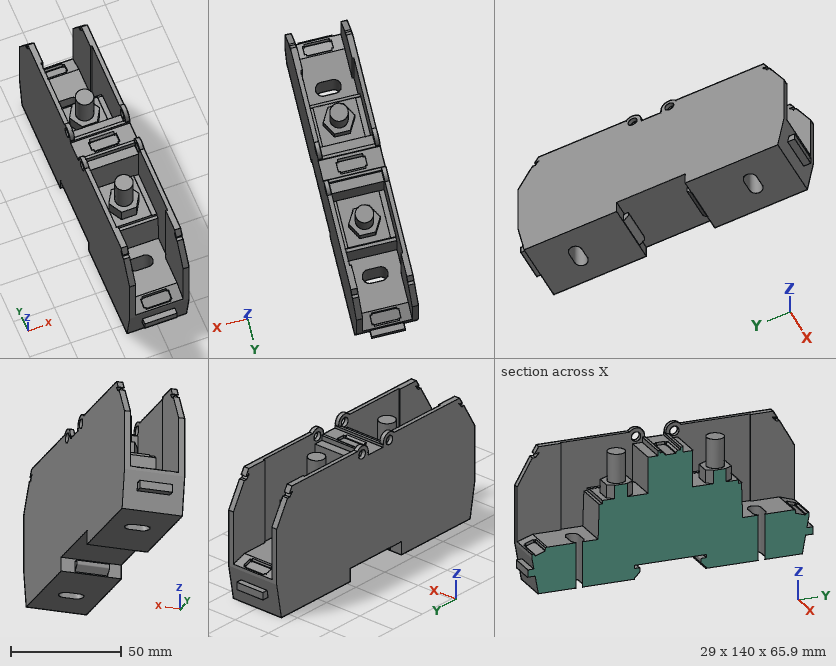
import cadquery as cq
import math


width = 29.0
length = 140.0
base_half = 64.8
body_half = 68.0
flare_height = 17.9
shoulder_height = 46.3
wall_top = 64.4
wall_top_half = 57.5

notch_points = [(60.6, 59.4), (59.1, 59.4), (57.3, 61.5), (59.5, 61.0)]

ear_y = 9.4
ear_radius = 4.2
ear_height = 61.7
ear_hole_diameter = 4.5

bridge_top = 59.8
rib_inner = 4.9
rib_outer = 6.3
rib_top = 61.0
ledge_height = 58.5
bridge_face = 11.0

thin_wall = 2.1
thick_wall = 3.0
thick_wall_start = 46.5
block_top = 40.9
step_height = 39.2
step_inner = 33.5
step_outer = 35.0
block_foot = 35.5
floor_height = 22.3
ramp_start = 60.5
ramp_end_height = 19.7

seat_half_width = 10.0
seat_relief = 0.4

stud_y = 24.2
stud_diameter = 8.4
stud_top = 61.5
nut_flats = 12.7
nut_top = 47.3

slot_y = 44.7
slot_length = 11.8
slot_width = 6.5

tab_width = 15.7
tab_bottom = 8.8
tab_top = 12.6

marker_length = 13.5
marker_width = 4.3
marker_depth = 1.4
relief_length = 11.8
bridge_relief_half = 3.5
ramp_relief_half = 3.1
relief_foot = 2.5
relief_depth = 1.0

channel_half = 17.5
channel_height = 6.7
claw_width = 15.7
claw_reach = 2.7
claw_bottom = 0.5
claw_shoulder = 3.2
claw_top = 5.5
claw_rounding = 0.7

overlap = 1.4
cut_top = wall_top + ear_radius


def block(x_size, y_range, z_range):
    """Box centred on X = 0 that spans the given Y and Z ranges."""
    y_size = y_range[1] - y_range[0]
    z_size = z_range[1] - z_range[0]
    box = cq.Workplane("XY").box(x_size, y_size, z_size, centered=(True, False, False))
    return box.translate((0, y_range[0], z_range[0]))


def side_prism(points, x_size):
    """Closed (y, z) outline extruded evenly about X = 0."""
    return cq.Workplane("YZ").polyline(points).close().extrude(x_size / 2, both=True)


def side_cylinder(y, z, diameter):
    """Full-width cylinder along X."""
    return cq.Workplane("YZ").center(y, z).circle(diameter / 2).extrude(width / 2, both=True)


def half_outline():
    """The +Y half of the housing as a solid block, with its ear."""
    points = [
        (0, 0),
        (base_half, 0),
        (body_half, flare_height),
        (body_half, shoulder_height),
        *notch_points,
        (wall_top_half, wall_top),
        (ear_y, wall_top),
        (ear_y, rib_top),
        (rib_inner, rib_top),
        (rib_inner, bridge_top),
        (0, bridge_top),
    ]
    ear = side_cylinder(ear_y, ear_height, 2 * ear_radius)
    ear_hole = side_cylinder(ear_y, ear_height, ear_hole_diameter)
    return side_prism(points, width).union(ear).cut(ear_hole)


def bay(wall):
    """Open space between side walls of the given thickness, above the stepped bay floor."""
    ramp_slope = (floor_height - ramp_end_height) / (body_half - ramp_start)
    points = [
        (rib_inner, cut_top),
        (rib_inner, rib_top),
        (rib_outer, rib_top),
        (rib_outer, ledge_height),
        (bridge_face, ledge_height),
        (bridge_face, block_top),
        (step_inner, block_top),
        (step_inner, step_height),
        (step_outer, step_height),
        (block_foot, floor_height),
        (ramp_start, floor_height),
        (body_half + overlap, ramp_end_height - overlap * ramp_slope),
        (body_half + overlap, cut_top),
    ]
    return side_prism(points, width - 2 * wall)


def bay_space():
    """Bay whose side walls are thin beside the stud and thick at the open end."""
    thin_zone = block(width, (0, thick_wall_start), (0, cut_top))
    return bay(thick_wall).union(bay(thin_wall).intersect(thin_zone))


def seat_reliefs():
    """Shallow strips that leave the nut seat raised."""
    strip_width = width / 2 - thin_wall - seat_half_width
    strip = block(strip_width, (bridge_face, step_inner), (block_top - seat_relief, block_top))
    offset = seat_half_width + strip_width / 2
    return strip.translate((offset, 0, 0)).union(strip.translate((-offset, 0, 0)))


def wire_slot():
    slot = cq.Workplane("XY").center(0, slot_y).slot2D(slot_length, slot_width)
    return slot.extrude(floor_height + overlap)


def stud_and_nut():
    base = cq.Workplane("XY").workplane(offset=block_top - overlap).center(0, stud_y)
    nut_corners = nut_flats / math.cos(math.pi / 6)
    nut = base.polygon(6, nut_corners).extrude(nut_top - block_top + overlap)
    stud = base.circle(stud_diameter / 2).extrude(stud_top - block_top + overlap)
    return nut.union(stud)


def end_tab():
    return block(tab_width, (base_half - overlap, length / 2), (tab_bottom, tab_top))


def claw():
    """Rounded hook that reaches into the rail channel."""
    tip = channel_half - claw_reach
    points = [
        (channel_half + overlap, claw_bottom),
        (channel_half, claw_bottom),
        (tip, claw_shoulder),
        (tip, claw_top),
        (channel_half + overlap, claw_top),
    ]
    tip_edges = cq.selectors.BoxSelector(
        (-width, tip - overlap / 2, 0), (width, tip + overlap / 2, channel_height)
    )
    return side_prism(points, claw_width).edges(tip_edges).edges("|X").fillet(claw_rounding)


def marker_recess(relief_half_width):
    """Marker pocket at the origin, with a sloping finger relief along each long edge."""
    half_width = marker_width / 2
    relief_points = [
        (-relief_half_width, overlap),
        (-relief_half_width, 0),
        (-relief_foot, -relief_depth),
        (-relief_foot, -marker_depth),
        (relief_foot, -marker_depth),
        (relief_foot, -relief_depth),
        (relief_half_width, 0),
        (relief_half_width, overlap),
    ]
    pocket = block(marker_length, (-half_width, half_width), (-marker_depth, overlap))
    return pocket.union(side_prism(relief_points, relief_length))


def ramp_marker_recess():
    """Marker recess tilted onto the middle of the end ramp."""
    drop = floor_height - ramp_end_height
    tilt = -math.degrees(math.atan2(drop, body_half - ramp_start))
    middle = (0, (ramp_start + body_half) / 2, floor_height - drop / 2)
    return marker_recess(ramp_relief_half).rotate((0, 0, 0), (1, 0, 0), tilt).translate(middle)


def half_terminal():
    """Everything on the +Y side of the centre plane."""
    channel = block(width, (0, channel_half), (0, channel_height))
    half = half_outline()
    for cutter in (bay_space(), seat_reliefs(), wire_slot(), ramp_marker_recess(), channel):
        half = half.cut(cutter)
    for addition in (stud_and_nut(), end_tab(), claw()):
        half = half.union(addition)
    return half


half = half_terminal()
terminal = half.union(half.mirror("XZ"))
result = terminal.cut(marker_recess(bridge_relief_half).translate((0, 0, bridge_top)))